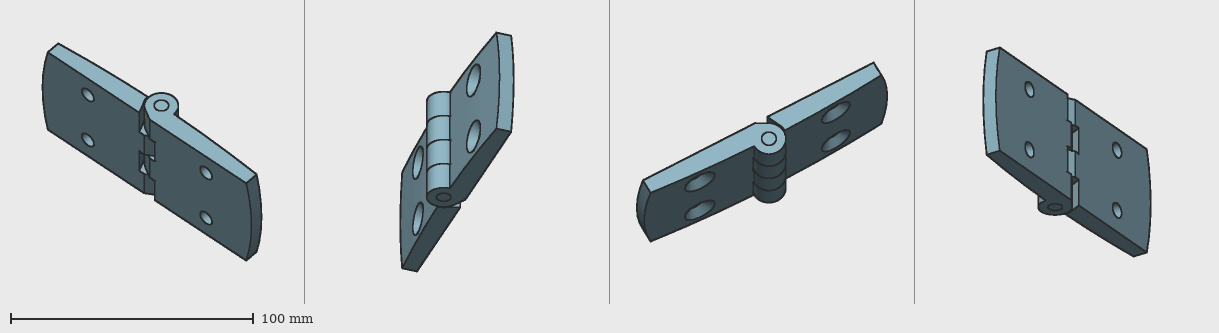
import cadquery as cq
import math

hinge_height = 48.0
knuckle_count = 4
knuckle_height = hinge_height / knuckle_count
knuckle_radius = 7.0
recess_clearance = 0.5
recess_radius = knuckle_radius + recess_clearance
pin_diameter = 6.0
pin_y = 9.0

leaf_length = 57.5
end_bow_radius = 100.0
crown_height = pin_y
crown_radius = 610.0
web_foot_x = 1.5
recess_foot_x = 4.2

hole_diameter = 6.6
sink_diameter = 13.8
sink_angle = 90.0
hole_x = 32.5
hole_spacing = 28.0

axis_y = cq.Vector(0, 1, 0)
own_levels = range(1, knuckle_count, 2)
opposite_levels = range(0, knuckle_count, 2)


def crown_y(x):
    """Height of the crowned outer face above the mounting face."""
    return crown_height - crown_radius + math.sqrt(crown_radius**2 - x**2)


def touch_point(radius, foot_x, side):
    """Point where a line from (foot_x, 0) touches a circle round the pin, on the given X side."""
    foot_distance = math.hypot(foot_x, pin_y)
    angle = math.atan2(-pin_y, foot_x) + side * math.acos(radius / foot_distance)
    return radius * math.cos(angle), pin_y + radius * math.sin(angle)


def pin_cylinder(radius, height):
    """Cylinder on the hinge axis."""
    return cq.Workplane("XY").center(0, pin_y).circle(radius).extrude(height)


def leaf_plate():
    """Crowned plate with a bowed end, reaching in to the hinge axis over the full height."""
    middle_x = leaf_length / 2
    slab = (
        cq.Workplane("XY")
        .moveTo(0, pin_y)
        .lineTo(*touch_point(knuckle_radius, web_foot_x, -1))
        .lineTo(web_foot_x, 0)
        .lineTo(leaf_length, 0)
        .lineTo(leaf_length, crown_y(leaf_length))
        .threePointArc((middle_x, crown_y(middle_x)), (0, crown_y(0)))
        .close()
        .extrude(hinge_height)
    )
    bow = (
        cq.Workplane("XZ", origin=(leaf_length - end_bow_radius, 0, hinge_height / 2))
        .circle(end_bow_radius)
        .extrude(-crown_height)
    )
    return slab.intersect(bow)


def knuckle():
    """One knuckle disc."""
    return pin_cylinder(knuckle_radius, knuckle_height)


def knuckle_recess():
    """Cutter that clears one knuckle of the opposite leaf, with a flank sloping to the mounting face."""
    flank = (
        cq.Workplane("XY")
        .moveTo(0, pin_y)
        .lineTo(*touch_point(recess_radius, recess_foot_x, 1))
        .lineTo(recess_foot_x, 0)
        .lineTo(-recess_radius, 0)
        .lineTo(-recess_radius, pin_y)
        .close()
        .extrude(knuckle_height)
    )
    return flank.union(pin_cylinder(recess_radius, knuckle_height))


def screw_hole(z):
    """Cutter for a through hole, countersunk from the crowned face."""
    slope = math.tan(math.radians(sink_angle / 2))
    tip_y = crown_y(hole_x) - sink_diameter / 2 / slope
    cone_length = pin_y + knuckle_radius - tip_y
    sink = cq.Solid.makeCone(0, cone_length * slope, cone_length, cq.Vector(hole_x, tip_y, z), axis_y)
    shank = cq.Solid.makeCylinder(hole_diameter / 2, crown_height, cq.Vector(hole_x, 0, z), axis_y)
    return cq.Workplane(shank.fuse(sink))


def hinge_leaf():
    """The +X leaf, with knuckles on its own levels and recesses on the others."""
    leaf = leaf_plate()
    for level in opposite_levels:
        leaf = leaf.cut(knuckle_recess().translate((0, 0, level * knuckle_height)))
    for level in own_levels:
        leaf = leaf.union(knuckle().translate((0, 0, level * knuckle_height)))
    for side in (-1, 1):
        leaf = leaf.cut(screw_hole(hinge_height / 2 + side * hole_spacing / 2))
    return leaf.cut(pin_cylinder(pin_diameter / 2, hinge_height))


def hinge_pin():
    """Plain pin, flush with both ends of the hinge."""
    return pin_cylinder(pin_diameter / 2, hinge_height)


turn_start = (0, 0, hinge_height / 2)
turn_end = (0, 1, hinge_height / 2)
leaves = [hinge_leaf().rotate(turn_start, turn_end, turn) for turn in (0, 180)]
pin = hinge_pin()

result = cq.Compound.makeCompound([*[leaf.val() for leaf in leaves], pin.val()])